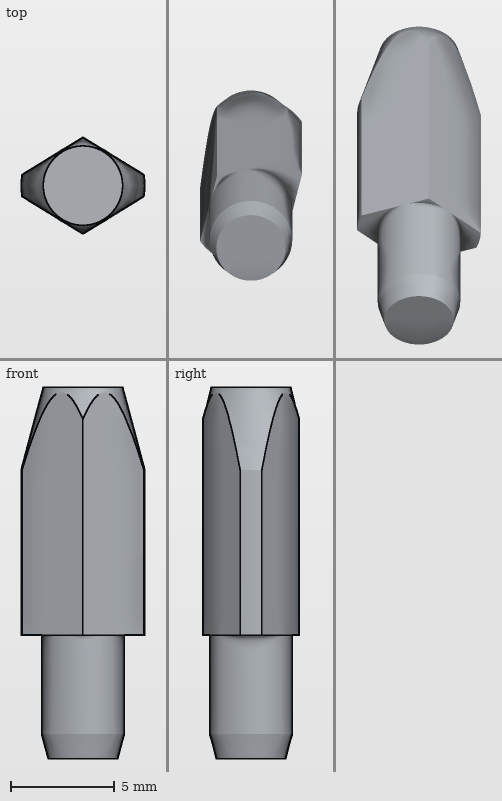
import math
import cadquery as cq

total_height = 18.0
shank_height = 6.0
shank_diameter = 4.0
head_diameter = 5.99
head_depth = 4.67
flat_distance = 3.98
taper_angle = 15.0
tip_taper_height = 1.2
head_taper_height = 4.0

taper_slope = math.tan(math.radians(taper_angle))
shank_radius = shank_diameter / 2
head_radius = head_diameter / 2
tip_radius = shank_radius - tip_taper_height * taper_slope
top_radius = head_radius - head_taper_height * taper_slope


def revolve_about_axis(profile):
    """Solid of revolution about Z from (radius, height) points."""
    return cq.Workplane("XZ").polyline(profile).close().revolve(360, (0, 0), (0, 1))


def make_shank():
    """Round shank with a tapered lower end."""
    return revolve_about_axis([
        (0, 0),
        (tip_radius, 0),
        (shank_radius, tip_taper_height),
        (shank_radius, shank_height),
        (0, shank_height),
    ])


def make_round_head():
    """Round head with a conical lead-in at the top."""
    return revolve_about_axis([
        (0, shank_height),
        (head_radius, shank_height),
        (head_radius, total_height - head_taper_height),
        (top_radius, total_height),
        (0, total_height),
    ])


def make_diamond():
    """Diamond prism whose four faces lie flat_distance / 2 from the axis."""
    half_depth = head_depth / 2
    face_angle = math.acos(flat_distance / head_depth)
    half_width = half_depth / math.tan(face_angle)
    corners = [(half_width, 0), (0, half_depth), (-half_width, 0), (0, -half_depth)]
    return (
        cq.Workplane("XY", origin=(0, 0, shank_height))
        .polyline(corners)
        .close()
        .extrude(total_height - shank_height)
    )


head = make_round_head().intersect(make_diamond())
result = make_shank().union(head)